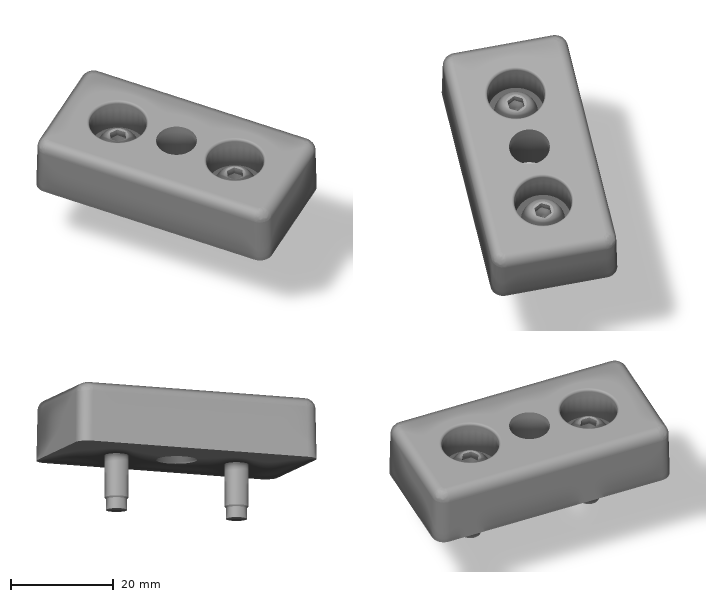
import cadquery as cq
import math

block_length = 50.4
block_width = 25.2
block_height = 12.0
draft_angle = 1.0
corner_radius = 2.5
top_edge_radius = 2.0
center_hole_diameter = 7.95

screw_spacing = 25.2
seat_diameter = 11.25
seat_depth = 6.8
seat_rim_radius = 0.5

shank_diameter = 4.75
tip_diameter = 4.15
tip_length = 2.15
shank_chamfer = (shank_diameter - tip_diameter) / 2
screw_reach = 10.85
head_diameter = 8.55
head_height = 3.0
head_flat_diameter = 4.15
socket_across_flats = 3.0
socket_depth = 1.5
socket_point_angle = 120.0

seat_floor_z = block_height - seat_depth
screw_places = [-screw_spacing / 2, screw_spacing / 2]


def make_housing():
    """Drafted, rounded block with a center hole and two screw seats."""
    block = cq.Workplane("XY").rect(block_length, block_width).extrude(block_height, taper=draft_angle)
    block = block.edges("not(|X or |Y)").fillet(corner_radius)
    block = block.faces(">Z").edges().fillet(top_edge_radius)

    center_hole = cq.Workplane("XY").circle(center_hole_diameter / 2).extrude(block_height)
    block = block.cut(center_hole)
    for x in screw_places:
        block = block.cut(make_seat_cutter().translate((x, 0, 0)))
    return block


def make_seat_cutter():
    """Clearance for one screw: shank bore and drafted head recess with a rounded rim."""
    bore_radius = shank_diameter / 2
    seat_radius = seat_diameter / 2
    wall_height = seat_depth - seat_rim_radius
    floor_radius = seat_radius - wall_height * math.tan(math.radians(draft_angle))
    rim_start_z = block_height - seat_rim_radius
    rim_center_r = seat_radius + seat_rim_radius
    rim_offset = seat_rim_radius * math.sqrt(0.5)
    return (
        cq.Workplane("XZ")
        .moveTo(0, 0)
        .lineTo(bore_radius, 0)
        .lineTo(bore_radius, seat_floor_z)
        .lineTo(floor_radius, seat_floor_z)
        .lineTo(seat_radius, rim_start_z)
        .threePointArc(
            (rim_center_r - rim_offset, rim_start_z + rim_offset),
            (rim_center_r, block_height),
        )
        .lineTo(0, block_height)
        .close()
        .revolve(360, (0, 0, 0), (0, 1, 0))
    )


def make_screw():
    """Button-head screw on the Z axis with a hexagon socket and a reduced tip."""
    head_radius = head_diameter / 2
    flat_radius = head_flat_diameter / 2
    head_top_z = seat_floor_z + head_height

    dome_center_z = (
        (head_top_z**2 + flat_radius**2 - seat_floor_z**2 - head_radius**2) / (2 * head_height)
    )
    dome_radius = math.hypot(head_radius, seat_floor_z - dome_center_z)
    mid_r = (head_radius + flat_radius) / 2
    mid_z = dome_center_z + math.sqrt(dome_radius**2 - mid_r**2)

    shank_end_z = tip_length - screw_reach
    screw = (
        cq.Workplane("XZ")
        .moveTo(0, -screw_reach)
        .lineTo(tip_diameter / 2, -screw_reach)
        .lineTo(tip_diameter / 2, shank_end_z)
        .lineTo(shank_diameter / 2, shank_end_z + shank_chamfer)
        .lineTo(shank_diameter / 2, seat_floor_z)
        .lineTo(head_radius, seat_floor_z)
        .threePointArc((mid_r, mid_z), (flat_radius, head_top_z))
        .lineTo(0, head_top_z)
        .close()
        .revolve(360, (0, 0, 0), (0, 1, 0))
    )

    across_corners = socket_across_flats / math.cos(math.pi / 6)
    socket_floor_z = head_top_z - socket_depth
    point_radius = socket_across_flats / 2
    point_depth = point_radius / math.tan(math.radians(socket_point_angle / 2))
    socket = (
        cq.Workplane("XY", origin=(0, 0, socket_floor_z))
        .polygon(6, across_corners)
        .extrude(socket_depth)
    )
    point = cq.Workplane(
        cq.Solid.makeCone(
            point_radius, 0, point_depth, pnt=cq.Vector(0, 0, socket_floor_z), dir=cq.Vector(0, 0, -1)
        )
    )
    return screw.cut(socket).cut(point)


housing = make_housing()
screws = [make_screw().translate((x, 0, 0)).val() for x in screw_places]

result = cq.Compound.makeCompound([housing.val(), *screws])